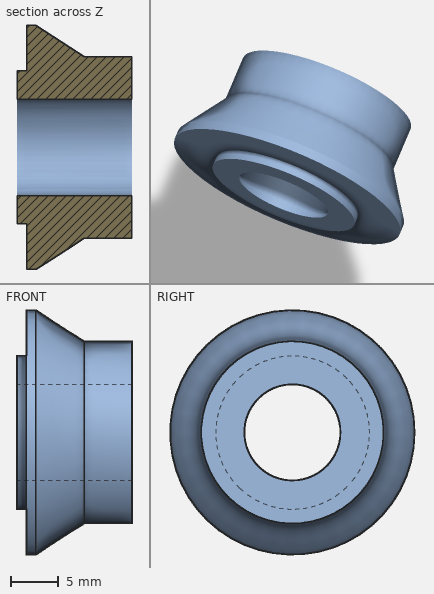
import cadquery as cq

total_length = 12.0
boss_length = 1.0
rim_length = 1.0
hub_length = 5.0

rim_diameter = 25.5
boss_diameter = 16.0
hub_diameter = 19.0
bore_diameter = 10.0

rim_start = boss_length
cone_start = rim_start + rim_length
hub_start = total_length - hub_length

boss_radius = boss_diameter / 2
rim_radius = rim_diameter / 2
hub_radius = hub_diameter / 2
bore_radius = bore_diameter / 2

half_section = (
    cq.Workplane("XY")
    .moveTo(0, bore_radius)
    .lineTo(0, boss_radius)
    .lineTo(rim_start, boss_radius)
    .lineTo(rim_start, rim_radius)
    .lineTo(cone_start, rim_radius)
    .lineTo(hub_start, hub_radius)
    .lineTo(total_length, hub_radius)
    .lineTo(total_length, bore_radius)
    .close()
)

result = half_section.revolve(360, (0, 0, 0), (1, 0, 0))